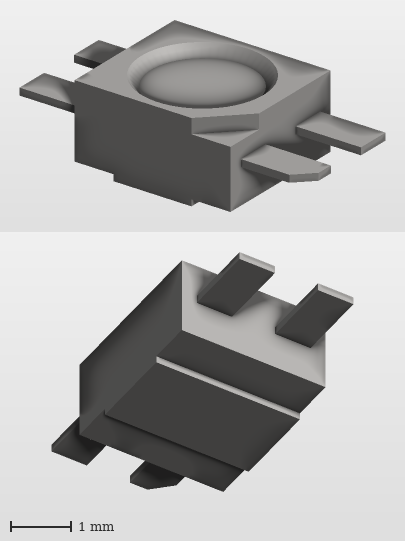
import cadquery as cq

total_length = 5.88
housing_length = 3.2
housing_width = 2.8
total_height = 1.63
foot_height = 0.13
foot_length = housing_length / 2

cup_top_diameter = 2.5
lens_diameter = 2.1
rim_depth = (cup_top_diameter - lens_diameter) / 2
lens_thickness = 0.3
lens_top = total_height - rim_depth

corner_step_leg = 0.8
corner_step_depth = 0.3

lead_length = (total_length - housing_length) / 2
lead_width = 0.69
lead_thickness = 0.145
lead_bottom = 0.84
lead_pitch = 1.53
lead_corner_cut = 0.345


def make_lens():
    """Flat disc seated below the conical rim of the cup."""
    return (
        cq.Workplane("XY")
        .workplane(offset=lens_top - lens_thickness)
        .circle(lens_diameter / 2)
        .extrude(lens_thickness)
    )


def make_rim_cone():
    """Frustum that opens from the top of the lens to the top of the housing."""
    return (
        cq.Workplane("XY")
        .workplane(offset=lens_top)
        .circle(lens_diameter / 2)
        .workplane(offset=rim_depth)
        .circle(cup_top_diameter / 2)
        .loft(ruled=True)
    )


def make_corner_step():
    """Triangular prism removed at the +X, -Y corner of the top."""
    corner_x = housing_length / 2
    corner_y = -housing_width / 2
    return (
        cq.Workplane("XY")
        .workplane(offset=total_height - corner_step_depth)
        .moveTo(corner_x, corner_y)
        .lineTo(corner_x, corner_y + corner_step_leg)
        .lineTo(corner_x - corner_step_leg, corner_y)
        .close()
        .extrude(corner_step_depth)
    )


def make_housing():
    """Block with a full-width foot, a round cup and a marked corner."""
    centred_on_base = (True, True, False)
    foot = cq.Workplane("XY").box(foot_length, housing_width, foot_height, centered=centred_on_base)
    block = (
        cq.Workplane("XY")
        .workplane(offset=foot_height)
        .box(housing_length, housing_width, total_height - foot_height, centered=centred_on_base)
    )
    return block.union(foot).cut(make_rim_cone()).cut(make_lens()).cut(make_corner_step())


def make_lead(side_x, side_y, has_corner_cut):
    """Flat lead on the side_x end wall; the outer -Y corner can be cut off."""
    lead = (
        cq.Workplane("XY")
        .workplane(offset=lead_bottom)
        .center(side_x * (housing_length + lead_length) / 2, side_y * lead_pitch / 2)
        .box(lead_length, lead_width, lead_thickness, centered=(True, True, False))
    )
    if has_corner_cut:
        lead = lead.edges("|Z").edges(">X").edges("<Y").chamfer(lead_corner_cut)
    return lead


housing = make_housing()
lens = make_lens()

leads = []
for side_x in (-1, 1):
    for side_y in (-1, 1):
        beside_marked_corner = side_x > 0 and side_y < 0
        leads.append(make_lead(side_x, side_y, beside_marked_corner).val())

result = cq.Compound.makeCompound([housing.val(), lens.val(), *leads])